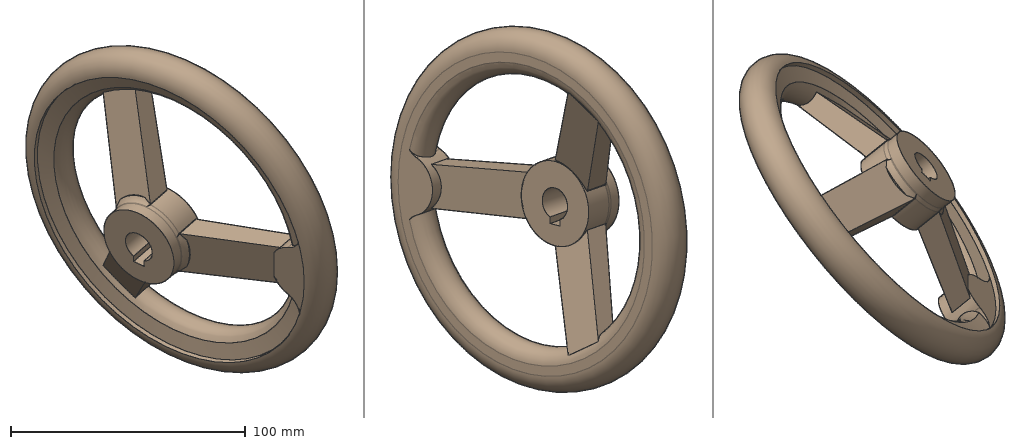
import cadquery as cq
import math


outer_radius = 80.0
rim_thickness = 17.9
rim_round = rim_thickness / 2
lip_radius = outer_radius - rim_round
lip_depth = 2.2
pad_height = rim_thickness - lip_depth
bevel_inner_radius = 63.7
bevel_inner_height = 13.9
inner_radius = 60.0
inner_mid_height = 7.0
back_inner_radius = 66.5

hub_radius = 37.0 / 2
body_radius = 18.9
body_front = 32.8
collar_height = 34.7
fillet_mid_radius = 19.4
fillet_mid_height = 32.6
fillet_end_height = 31.5
fillet_base_height = 24.0
hub_front = 40.0
hub_back = 19.5
bore_diameter = 14.0
key_width = 5.5
key_depth = 9.5

spoke_angles = (0, 120, 240)
spoke_width = 20.8
spoke_tip_width = 19.5
spoke_slope = 0.46
spoke_back_slope = 0.42
spoke_root_radius = 20.5
spoke_root_height = 30.9
spoke_back_height = 19.8
spoke_inner_radius = 16.0
spoke_outer_radius = 62.4

boss_x = 65.6
boss_radius = 13.8
flare_radius = 9.6


def revolve_about_axis(profile):
    """Revolve a (radius, -height) profile about the wheel axis."""
    return profile.close().revolve(360, (0, 0, 0), (0, 1, 0))


def extrude_forward(sketch, start, end):
    """Extrude an XZ outline between two heights."""
    return sketch.extrude(end - start).translate((0, -start, 0))


def rim():
    profile = (
        cq.Workplane("XY")
        .moveTo(lip_radius, -rim_thickness)
        .lineTo(lip_radius, -pad_height)
        .lineTo(bevel_inner_radius, -bevel_inner_height)
        .threePointArc((inner_radius, -inner_mid_height), (back_inner_radius, 0))
        .lineTo(lip_radius, 0)
        .threePointArc((outer_radius, -rim_round), (lip_radius, -rim_thickness))
    )
    return revolve_about_axis(profile)


def hub():
    """Hub body tapering slightly to the front collar."""
    profile = (
        cq.Workplane("XY")
        .moveTo(0, -hub_back)
        .lineTo(body_radius, -hub_back)
        .lineTo(body_radius, -body_front)
        .lineTo(hub_radius, -collar_height)
        .lineTo(hub_radius, -hub_front)
        .lineTo(0, -hub_front)
    )
    return revolve_about_axis(profile)


def spoke_plan():
    """Tapered outline of one spoke, as deep as the whole wheel."""
    plan_corners = [
        (spoke_inner_radius, -spoke_width / 2),
        (spoke_outer_radius, -spoke_tip_width / 2),
        (spoke_outer_radius, spoke_tip_width / 2),
        (spoke_inner_radius, spoke_width / 2),
    ]
    plan_shape = cq.Workplane("XZ").polyline(plan_corners).close()
    return extrude_forward(plan_shape, 0, hub_front)


def spoke():
    """Spoke along +X, sloping from the hub back to the rim."""
    def front_height(radius):
        return spoke_root_height - spoke_slope * (radius - spoke_root_radius)

    def back_height(radius):
        return max(0, spoke_back_height - spoke_back_slope * (radius - hub_radius))

    corners = [
        (spoke_inner_radius, -back_height(spoke_inner_radius)),
        (spoke_outer_radius, -back_height(spoke_outer_radius)),
        (spoke_outer_radius, -front_height(spoke_outer_radius)),
        (spoke_inner_radius, -front_height(spoke_inner_radius)),
    ]
    side_shape = cq.Workplane("XY").polyline(corners).close().extrude(spoke_width / 2, both=True)
    return side_shape.intersect(spoke_plan())


def root_fillet():
    """Concave ring blending the hub into the spoke fronts, cut to the width of one spoke."""
    fillet_mid = (fillet_mid_radius, -fillet_mid_height)
    profile = (
        cq.Workplane("XY")
        .moveTo(spoke_inner_radius, -collar_height)
        .lineTo(hub_radius, -collar_height)
        .threePointArc(fillet_mid, (spoke_root_radius, -fillet_end_height))
        .lineTo(spoke_root_radius, -fillet_base_height)
        .lineTo(spoke_inner_radius, -fillet_base_height)
    )
    return revolve_about_axis(profile).intersect(spoke_plan())


def handle_boss():
    """Round boss flaring into the rim on both sides, its flat front closing the rim recess."""
    to_boss = boss_radius + flare_radius
    to_axis = lip_radius - flare_radius
    flare_x = (to_axis**2 - to_boss**2 + boss_x**2) / (2 * boss_x)
    flare_z = math.sqrt(to_axis**2 - flare_x**2)
    touch_x = boss_x + (flare_x - boss_x) * boss_radius / to_boss
    touch_z = flare_z * boss_radius / to_boss
    end_x = flare_x * lip_radius / to_axis
    end_z = flare_z * lip_radius / to_axis
    mid_angle = (math.atan2(touch_z - flare_z, touch_x - flare_x) + math.atan2(flare_z, flare_x)) / 2
    mid_x = flare_x + flare_radius * math.cos(mid_angle)
    mid_z = flare_z + flare_radius * math.sin(mid_angle)

    boss_outline = (
        cq.Workplane("XZ")
        .moveTo(end_x, end_z)
        .threePointArc((mid_x, mid_z), (touch_x, touch_z))
        .threePointArc((boss_x - boss_radius, 0), (touch_x, -touch_z))
        .threePointArc((mid_x, -mid_z), (end_x, -end_z))
        .threePointArc((lip_radius, 0), (end_x, end_z))
        .close()
    )
    return extrude_forward(boss_outline, 0, pad_height)


def bore():
    hole = cq.Workplane("XZ").circle(bore_diameter / 2)
    keyway = cq.Workplane("XZ").center(0, -key_depth / 2).rect(key_width, key_depth)
    return extrude_forward(hole, 0, hub_front).union(extrude_forward(keyway, 0, hub_front))


result = rim().union(hub()).union(handle_boss())
for angle in spoke_angles:
    arm = spoke().union(root_fillet())
    result = result.union(arm.rotate((0, 0, 0), (0, 1, 0), angle))
result = result.cut(bore())